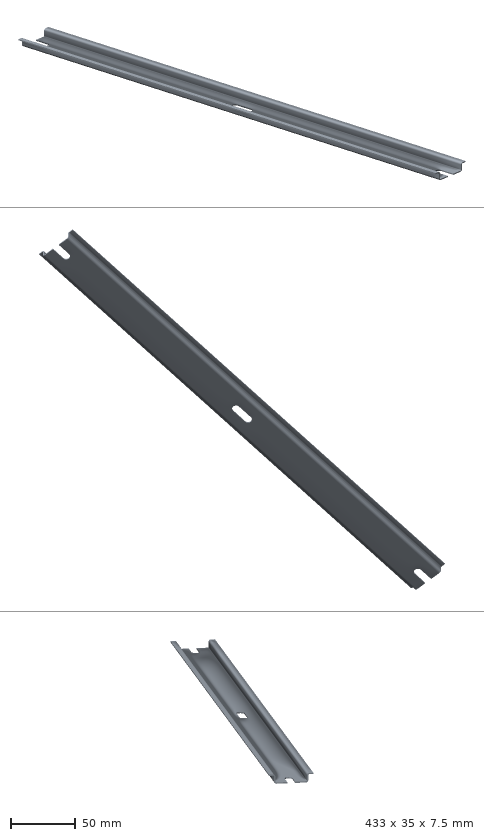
import cadquery as cq

LENGTH = 433.0
WIDTH = 35.0
HEIGHT = 7.5
THICKNESS = 1.0
CHANNEL_WIDTH = 27.0

FLANGE_INNER_RADIUS = 0.8
FLANGE_OUTER_RADIUS = FLANGE_INNER_RADIUS + THICKNESS

FLOOR_INNER_RADIUS = 0.5
FLOOR_OUTER_RADIUS = 2.0

SLOT_WIDTH = 6.3
CENTER_SLOT_LENGTH = 20.0
END_SLOT_DEPTH = 15.0


def folded_rail():
    """Hat section with a flat floor, two upright walls and two outward flanges."""
    half_width = WIDTH / 2
    outer_wall = CHANNEL_WIDTH / 2
    inner_wall = outer_wall - THICKNESS
    flange_underside = HEIGHT - THICKNESS

    section = (
        cq.Workplane("YZ")
        .moveTo(-outer_wall, 0)
        .lineTo(outer_wall, 0)
        .lineTo(outer_wall, flange_underside)
        .lineTo(half_width, flange_underside)
        .lineTo(half_width, HEIGHT)
        .lineTo(inner_wall, HEIGHT)
        .lineTo(inner_wall, THICKNESS)
        .lineTo(-inner_wall, THICKNESS)
        .lineTo(-inner_wall, HEIGHT)
        .lineTo(-half_width, HEIGHT)
        .lineTo(-half_width, flange_underside)
        .lineTo(-outer_wall, flange_underside)
        .close()
    )
    rail = section.extrude(LENGTH / 2, both=True)

    rail = round_corner(rail, outer_wall, flange_underside, FLANGE_INNER_RADIUS)
    rail = round_corner(rail, inner_wall, HEIGHT, FLANGE_OUTER_RADIUS)
    rail = round_corner(rail, inner_wall, THICKNESS, FLOOR_INNER_RADIUS)
    return round_corner(rail, outer_wall, 0, FLOOR_OUTER_RADIUS)


def round_corner(rail, y, z, radius):
    """Fillet the lengthwise edge at section corner (y, z) and its mirror image at (-y, z)."""
    for side in (-1, 1):
        nearest_corner = cq.NearestToPointSelector((0, side * y, z))
        rail = rail.edges("|X").edges(nearest_corner).fillet(radius)
    return rail


def slot_cutter(center_x, length):
    """Round-ended slot along X, passing through the floor."""
    return (
        cq.Workplane("XY")
        .center(center_x, 0)
        .slot2D(length, SLOT_WIDTH)
        .extrude(THICKNESS)
    )


result = folded_rail().cut(slot_cutter(0, CENTER_SLOT_LENGTH))

for end_x in (-LENGTH / 2, LENGTH / 2):
    result = result.cut(slot_cutter(end_x, 2 * END_SLOT_DEPTH))